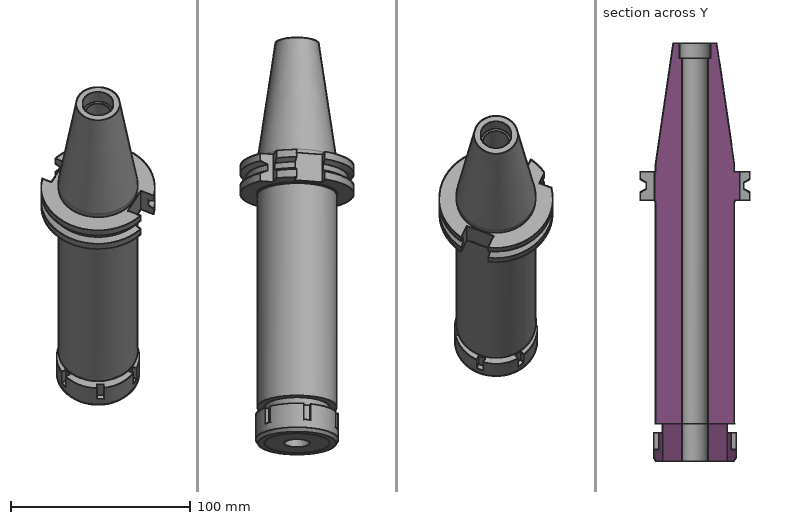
import cadquery as cq

total_length = 233.5
taper_length = 68.5
collar_height = 3.3
flange_height = 16.0
body_bottom = 21.0
nut_height = 16.0

gauge_z = total_length - taper_length
flange_top = gauge_z - collar_height
flange_bottom = flange_top - flange_height

shank_radius = 22.2
taper_ratio = 7 / 24
taper_end_radius = shank_radius - taper_length * taper_ratio / 2

flange_radius = 31.7
groove_floor_radius = 28.5
groove_floor_width = 3.5
groove_mouth_width = 7.2
groove_center_drop = 11.2
groove_center_z = gauge_z - groove_center_drop
key_slot_width = 16.3
left_key_floor = 25.0
right_key_floor = 22.6
root_flare_height = 0.7
notch_inset = 18.5

bore_radius = 7.2
counterbore_radius = 8.6
counterbore_depth = 8.5

collet_radius = 18.2
nut_radius = 23.0
nut_chamfer_radial = 1.5
nut_chamfer_height = 2.0
wrench_slot_count = 6
wrench_slot_width = 4.0
wrench_slot_depth = 2.8
wrench_slot_height = 9.3


def cylinder(radius, bottom, top):
    return cq.Workplane("XY").workplane(offset=bottom).circle(radius).extrude(top - bottom)


def flange_block(x_min, x_max, y_min, y_max):
    """Box over the full flange height, used as a cutter."""
    return (
        cq.Workplane("XY")
        .box(x_max - x_min, y_max - y_min, flange_height, centered=False)
        .translate((x_min, y_min, flange_bottom))
    )


def make_flange():
    half_floor = groove_floor_width / 2
    half_mouth = groove_mouth_width / 2
    flange = (
        cq.Workplane("XZ")
        .moveTo(0, flange_bottom)
        .lineTo(flange_radius, flange_bottom)
        .lineTo(flange_radius, groove_center_z - half_mouth)
        .lineTo(groove_floor_radius, groove_center_z - half_floor)
        .lineTo(groove_floor_radius, groove_center_z + half_floor)
        .lineTo(flange_radius, groove_center_z + half_mouth)
        .lineTo(flange_radius, flange_top)
        .lineTo(0, flange_top)
        .close()
        .revolve(360, (0, 0, 0), (0, 1, 0))
    )
    half_key = key_slot_width / 2
    left_key = flange_block(-flange_radius, -left_key_floor, -half_key, half_key)
    right_key = flange_block(right_key_floor, flange_radius, -half_key, half_key)
    notch = flange_block(-flange_radius, -notch_inset, notch_inset, flange_radius)
    return flange.cut(left_key).cut(right_key).cut(notch)


def make_holder():
    taper_and_shank = (
        cq.Workplane("XZ")
        .moveTo(0, body_bottom)
        .lineTo(shank_radius, body_bottom)
        .lineTo(shank_radius, flange_bottom - root_flare_height)
        .lineTo(right_key_floor, flange_bottom)
        .lineTo(shank_radius, flange_bottom)
        .lineTo(shank_radius, gauge_z)
        .lineTo(taper_end_radius, total_length)
        .lineTo(0, total_length)
        .close()
        .revolve(360, (0, 0, 0), (0, 1, 0))
    )
    bore = cylinder(bore_radius, body_bottom, total_length)
    counterbore = cylinder(counterbore_radius, total_length - counterbore_depth, total_length)
    return taper_and_shank.union(make_flange()).cut(bore).cut(counterbore)


def make_collet():
    """Sleeve through the nut that meets the shoulder of the shank."""
    return cylinder(collet_radius, 0, body_bottom).cut(cylinder(bore_radius, 0, body_bottom))


def make_nut():
    nut = (
        cq.Workplane("XZ")
        .moveTo(collet_radius, 0)
        .lineTo(nut_radius - nut_chamfer_radial, 0)
        .lineTo(nut_radius, nut_chamfer_height)
        .lineTo(nut_radius, nut_height)
        .lineTo(collet_radius, nut_height)
        .close()
        .revolve(360, (0, 0, 0), (0, 1, 0))
    )
    slot_floor = nut_radius - wrench_slot_depth
    slot = (
        cq.Workplane("XY")
        .box(2 * wrench_slot_depth, wrench_slot_width, wrench_slot_height, centered=(False, True, False))
        .translate((slot_floor, 0, nut_height - wrench_slot_height))
    )
    for index in range(wrench_slot_count):
        angle = index * 360 / wrench_slot_count
        nut = nut.cut(slot.rotate((0, 0, 0), (0, 0, 1), angle))
    return nut


holder = make_holder()
collet = make_collet()
nut = make_nut()

result = cq.Compound.makeCompound([holder.val(), collet.val(), nut.val()])